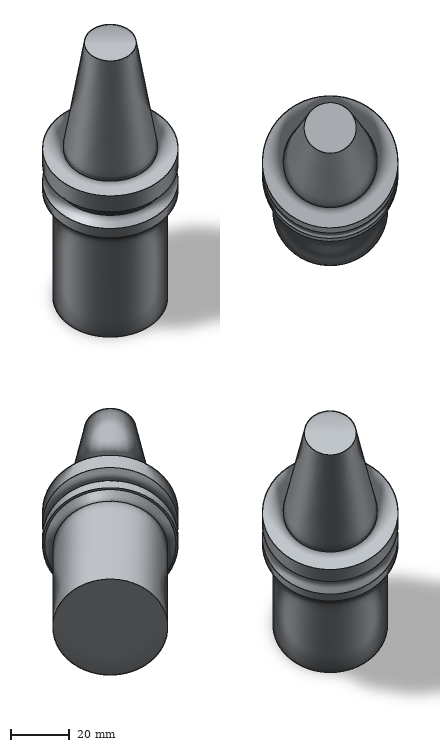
import cadquery as cq
import math

total_length = 121.4
gauge_length = 48.4
face_to_gauge = 2.0
gauge_plane = total_length - gauge_length
flange_top = gauge_plane - face_to_gauge

taper_ratio = 7 / 24
gauge_diameter = 31.75
collar_diameter = 31.9
tip_diameter = gauge_diameter - gauge_length * taper_ratio
taper_bottom = gauge_plane - (collar_diameter - gauge_diameter) / taper_ratio

flange_diameter = 46.0
flange_height = 20.0
flange_bottom = flange_top - flange_height
groove_diameter = 38.0
groove_mouth = 8.0
gauge_to_groove = 13.6
groove_center = gauge_plane - gauge_to_groove
flank_angle = 30.0
groove_depth = (flange_diameter - groove_diameter) / 2
flank_height = groove_depth * math.tan(math.radians(flank_angle))
half_mouth = groove_mouth / 2
half_floor = half_mouth - flank_height

body_diameter = 39.0
cone_diameter = 44.5
cone_height = 3.0
body_top = flange_bottom - cone_height


def turned_holder():
    """Revolve the half outline, given as (diameter, height), about the Z axis."""
    outline = [
        (0, 0),
        (body_diameter, 0),
        (body_diameter, body_top),
        (cone_diameter, flange_bottom),
        (flange_diameter, flange_bottom),
        (flange_diameter, groove_center - half_mouth),
        (groove_diameter, groove_center - half_floor),
        (groove_diameter, groove_center + half_floor),
        (flange_diameter, groove_center + half_mouth),
        (flange_diameter, flange_top),
        (collar_diameter, flange_top),
        (collar_diameter, taper_bottom),
        (tip_diameter, total_length),
        (0, total_length),
    ]
    points = [(diameter / 2, height) for diameter, height in outline]
    return cq.Workplane("XZ").polyline(points).close().revolve(360, (0, 0), (0, 1))


result = turned_holder()